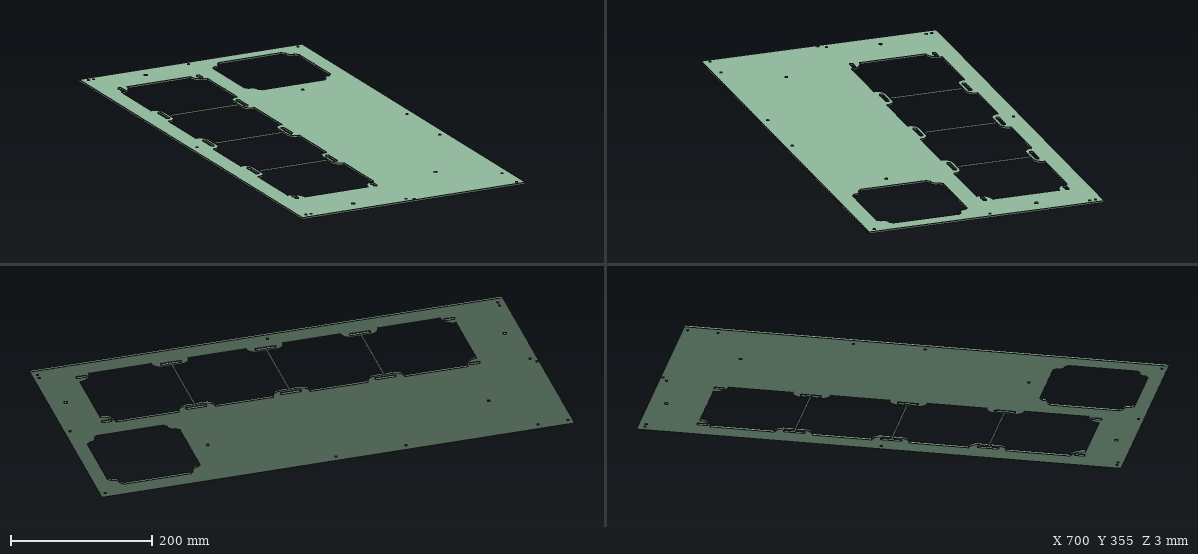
import cadquery as cq

plate_length = 700.0
plate_width = 355.0
plate_thickness = 3.0

fan_opening = 136.5
fan_hole_pitch = 124.5
fan_hole_inset = (fan_opening - fan_hole_pitch) / 2

single_fan_center = (-260.0, 83.0)
single_corner_reach = 19.0
single_tab_radius = 8.5

fan_count = 4
fan_pitch = 140.0
row_center = (-11.0, -81.0)
row_length = (fan_count - 1) * fan_pitch + fan_opening
first_fan_x = row_center[0] - (fan_count - 1) * fan_pitch / 2
bar_xs = [first_fan_x + (i + 0.5) * fan_pitch for i in range(fan_count - 1)]
row_corner_radius = 18.0
row_tab_length = 54.5
row_tab_depth = 13.0
slot_width = 5.0
slot_travel = 15.5
shared_slot_length = fan_pitch - fan_hole_pitch + slot_travel

screw_hole_diameter = 3.0
standoff_hole_diameter = 3.85
hanger_hole_diameter = 5.0
edge_row_y = 166.5
inner_row_y = 166.0
inner_row_xs = (103.5, 299.0)
left_column_x = -341.5
right_column_x = 339.5
column_ys = (-8.0, -158.0, -edge_row_y)
upper_row_xs = (left_column_x, 0, 343.0)
lower_middle_x = -1.5
right_edge_screw = (346.5, 2.0)
standoff_y = 85.0
standoff_xs = (-165.0, 250.5)
hanger_x = 325.0
hanger_y = -84.0

screw_points = [(lower_middle_x, -edge_row_y), right_edge_screw]
screw_points += [(x, edge_row_y) for x in upper_row_xs]
screw_points += [(x, inner_row_y) for x in inner_row_xs]
screw_points += [(x, y) for x in (left_column_x, right_column_x) for y in column_ys]
standoff_points = [(x, standoff_y) for x in standoff_xs]
hanger_points = [(-hanger_x, hanger_y), (hanger_x, hanger_y)]


def block(length, width, center):
    """Rectangular block as thick as the plate."""
    return cq.Workplane("XY").center(*center).rect(length, width).extrude(plate_thickness)


def cylinders(diameter, points):
    """Upright cylinders as tall as the plate."""
    return cq.Workplane("XY").pushPoints(points).circle(diameter / 2).extrude(plate_thickness)


def slots(length, width, points):
    """Round-ended bars along X, as tall as the plate."""
    return cq.Workplane("XY").pushPoints(points).slot2D(length, width).extrude(plate_thickness)


def single_fan_cutter():
    """Square opening with a round-nosed tab left standing in each corner."""
    x, y = single_fan_center
    half = fan_opening / 2
    cutter = block(fan_opening, fan_opening, single_fan_center)
    for side_x in (-1, 1):
        for side_y in (-1, 1):
            corner = (x + side_x * half, y + side_y * half)
            along_x = (corner[0] - side_x * single_corner_reach, corner[1])
            along_y = (corner[0], corner[1] - side_y * single_corner_reach)
            gusset = cq.Workplane("XY").polyline([corner, along_x, along_y]).close()
            cutter = cutter.cut(gusset.extrude(plate_thickness))
    nose_pitch = fan_hole_pitch / 2
    noses = [(x + i * nose_pitch, y + j * nose_pitch) for i in (-1, 1) for j in (-1, 1)]
    return cutter.cut(cylinders(2 * single_tab_radius, noses))


def fan_row_cutter():
    """Row of openings split by thin bars, with tabs left along both long sides."""
    x, y = row_center
    fans = [(first_fan_x + i * fan_pitch, y) for i in range(fan_count)]
    cutter = cq.Workplane("XY").pushPoints(fans).rect(fan_opening, fan_opening)
    cutter = cutter.extrude(plate_thickness)
    sides = [y - fan_opening / 2, y + fan_opening / 2]
    row_corners = [(x + i * row_length / 2, side) for i in (-1, 1) for side in sides]
    shared_tabs = [(bar, side) for bar in bar_xs for side in sides]
    cutter = cutter.cut(cylinders(2 * row_corner_radius, row_corners))
    return cutter.cut(slots(row_tab_length, 2 * row_tab_depth, shared_tabs))


def fan_slot_cutter():
    """Mounting slots in the tabs of the fan row."""
    x, y = row_center
    end_x = row_length / 2 - fan_hole_inset
    rows = [y - fan_hole_pitch / 2, y + fan_hole_pitch / 2]
    ends = [(x + i * end_x, row) for i in (-1, 1) for row in rows]
    shared = [(bar, row) for bar in bar_xs for row in rows]
    end_slots = slots(slot_travel, slot_width, ends)
    return end_slots.union(slots(shared_slot_length, slot_width, shared))


result = block(plate_length, plate_width, (0, 0))
result = result.cut(single_fan_cutter())
result = result.cut(fan_row_cutter())
result = result.cut(fan_slot_cutter())
result = result.cut(cylinders(screw_hole_diameter, screw_points))
result = result.cut(cylinders(standoff_hole_diameter, standoff_points))
result = result.cut(cylinders(hanger_hole_diameter, hanger_points))